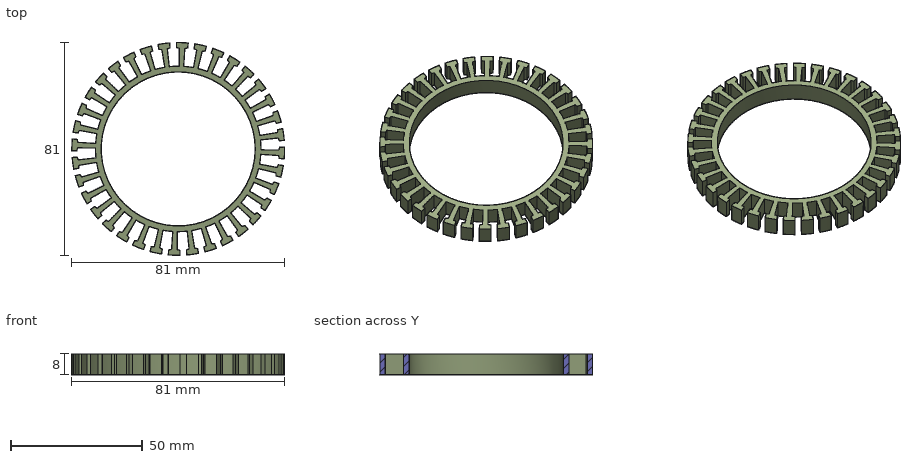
import cadquery as cq
import math

OUTER_RADIUS = 40.5
BORE_RADIUS = 29.2
BAND_RADIUS = 31.5
HEIGHT = 8.0

TOOTH_COUNT = 36
TOOTH_PITCH = 360.0 / TOOTH_COUNT
FIRST_TOOTH_ANGLE = -2.2

STEM_ANGLE = 3.3
HEAD_ANGLE = 6.5
SHOULDER_ROOT_RADIUS = 38.2
SHOULDER_TIP_RADIUS = 38.55
STEM_ROOT_RADIUS = (BORE_RADIUS + BAND_RADIUS) / 2


def polar(radius, angle):
    """Point at a radius and an angle in degrees."""
    turn = math.radians(angle)
    return (radius * math.cos(turn), radius * math.sin(turn))


def make_band():
    return cq.Workplane("XY").circle(BAND_RADIUS).circle(BORE_RADIUS).extrude(HEIGHT)


def make_tooth():
    """One tooth pointing along +X, with an arc-shaped outer face."""
    half_stem = STEM_ANGLE / 2
    half_head = HEAD_ANGLE / 2
    return (
        cq.Workplane("XY")
        .moveTo(*polar(STEM_ROOT_RADIUS, -half_stem))
        .lineTo(*polar(SHOULDER_ROOT_RADIUS, -half_stem))
        .lineTo(*polar(SHOULDER_TIP_RADIUS, -half_head))
        .lineTo(*polar(OUTER_RADIUS, -half_head))
        .threePointArc((OUTER_RADIUS, 0), polar(OUTER_RADIUS, half_head))
        .lineTo(*polar(SHOULDER_TIP_RADIUS, half_head))
        .lineTo(*polar(SHOULDER_ROOT_RADIUS, half_stem))
        .lineTo(*polar(STEM_ROOT_RADIUS, half_stem))
        .close()
        .extrude(HEIGHT)
    )


result = make_band()
tooth = make_tooth()
for index in range(TOOTH_COUNT):
    angle = FIRST_TOOTH_ANGLE + index * TOOTH_PITCH
    result = result.union(tooth.rotate((0, 0, 0), (0, 0, 1), angle))